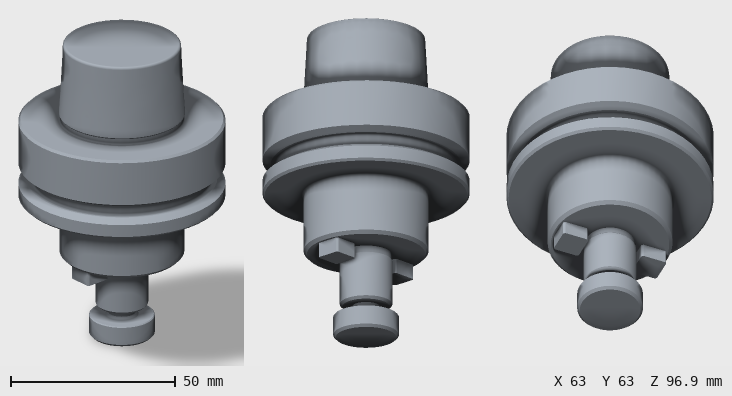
import cadquery as cq
import math


flange_radius = 31.5
flange_height = 26.0
flange_chamfer = 0.7
groove_center_z = -18.0
groove_mouth = 6.7
groove_slot_width = 3.8
groove_floor_radius = 27.3
groove_floor_fillet = 0.6
groove_flank_angle = 30.0

taper_top_z = 25.0
taper_top_radius = 17.95
taper_foot_z = 2.0
taper_foot_radius = 19.2
taper_top_round = 0.8
neck_radius = 18.8
neck_top_z = 1.55
relief_radius = 20.6
relief_depth = 0.2
relief_fillet = 0.5

boss_radius = 19.0
boss_bottom_z = -45.0
boss_chamfer = 1.0
boss_root_fillet = 0.8

pilot_radius = 8.0
pilot_bottom_z = boss_bottom_z - 17.0
pilot_chamfer = 0.8
pilot_neck_radius = 7.7
pilot_neck_bottom_z = boss_bottom_z - 2.0
pilot_shoulder_height = 0.4

key_width = 8.0
key_inner_y = 8.8
key_outer_y = 17.05
key_height = 4.6
key_chamfer = 0.5

head_radius = 10.0
head_top_z = pilot_bottom_z - 3.1
head_bottom_z = -71.9
head_top_chamfer = 0.3
head_bottom_chamfer = 0.8
shank_radius = 4.25
shank_length = 25.0
shank_root_chamfer = 0.8
shank_top_z = head_top_z + shank_length


def make_holder_body():
    """Taper, flange, boss and pilot turned about Z."""
    flange_bottom_z = -flange_height
    groove_top_z = groove_center_z + groove_mouth / 2
    groove_bottom_z = groove_center_z - groove_mouth / 2
    slot_top_z = groove_center_z + groove_slot_width / 2
    slot_bottom_z = groove_center_z - groove_slot_width / 2
    flank_drop = (groove_mouth - groove_slot_width) / 2
    flank_foot_radius = flange_radius - flank_drop / math.tan(math.radians(groove_flank_angle))
    mid_arc = 1 - math.sqrt(0.5)
    relief_mid_arc = relief_fillet * mid_arc
    boss_mid_arc = boss_root_fillet * mid_arc
    floor_mid_arc = groove_floor_fillet * mid_arc
    profile = (
        cq.Workplane("XZ")
        .moveTo(0, taper_top_z)
        .lineTo(taper_top_radius, taper_top_z)
        .lineTo(taper_foot_radius, taper_foot_z)
        .lineTo(neck_radius, neck_top_z)
        .lineTo(neck_radius, relief_fillet - relief_depth)
        .threePointArc(
            (neck_radius + relief_mid_arc, relief_mid_arc - relief_depth),
            (neck_radius + relief_fillet, -relief_depth),
        )
        .lineTo(relief_radius, 0)
        .lineTo(flange_radius - flange_chamfer, 0)
        .lineTo(flange_radius, -flange_chamfer)
        .lineTo(flange_radius, groove_top_z)
        .lineTo(flank_foot_radius, slot_top_z)
        .lineTo(groove_floor_radius + groove_floor_fillet, slot_top_z)
        .threePointArc(
            (groove_floor_radius + floor_mid_arc, slot_top_z - floor_mid_arc),
            (groove_floor_radius, slot_top_z - groove_floor_fillet),
        )
        .lineTo(groove_floor_radius, slot_bottom_z + groove_floor_fillet)
        .threePointArc(
            (groove_floor_radius + floor_mid_arc, slot_bottom_z + floor_mid_arc),
            (groove_floor_radius + groove_floor_fillet, slot_bottom_z),
        )
        .lineTo(flank_foot_radius, slot_bottom_z)
        .lineTo(flange_radius, groove_bottom_z)
        .lineTo(flange_radius, flange_bottom_z + flange_chamfer)
        .lineTo(flange_radius - flange_chamfer, flange_bottom_z)
        .lineTo(boss_radius + boss_root_fillet, flange_bottom_z)
        .threePointArc(
            (boss_radius + boss_mid_arc, flange_bottom_z - boss_mid_arc),
            (boss_radius, flange_bottom_z - boss_root_fillet),
        )
        .lineTo(boss_radius, boss_bottom_z + boss_chamfer)
        .lineTo(boss_radius - boss_chamfer, boss_bottom_z)
        .lineTo(pilot_neck_radius, boss_bottom_z)
        .lineTo(pilot_neck_radius, pilot_neck_bottom_z)
        .lineTo(pilot_radius, pilot_neck_bottom_z - pilot_shoulder_height)
        .lineTo(pilot_radius, pilot_bottom_z + pilot_chamfer)
        .lineTo(pilot_radius - pilot_chamfer, pilot_bottom_z)
        .lineTo(0, pilot_bottom_z)
        .close()
    )
    body = profile.revolve(360, (0, 0, 0), (0, 1, 0))
    return body.faces(">Z").edges().fillet(taper_top_round)


def make_key(side):
    """Drive key hanging from the boss; side is +1 or -1 along Y."""
    return (
        cq.Workplane("XY", origin=(0, side * (key_inner_y + key_outer_y) / 2, boss_bottom_z))
        .rect(key_width, key_outer_y - key_inner_y)
        .extrude(-key_height)
        .edges("|Z")
        .chamfer(key_chamfer)
    )


def make_holder():
    """Holder body with its drive keys and the blind hole for the screw."""
    holder = make_holder_body()
    for side in (-1, 1):
        holder = holder.union(make_key(side))
    screw_hole = (
        cq.Workplane("XY", origin=(0, 0, pilot_bottom_z))
        .circle(shank_radius)
        .extrude(shank_top_z - pilot_bottom_z)
    )
    return holder.cut(screw_hole)


def make_screw():
    """Clamping screw: round head below a plain shank."""
    return (
        cq.Workplane("XZ")
        .moveTo(0, head_bottom_z)
        .lineTo(head_radius - head_bottom_chamfer, head_bottom_z)
        .lineTo(head_radius, head_bottom_z + head_bottom_chamfer)
        .lineTo(head_radius, head_top_z - head_top_chamfer)
        .lineTo(head_radius - head_top_chamfer, head_top_z)
        .lineTo(shank_radius + shank_root_chamfer, head_top_z)
        .lineTo(shank_radius, head_top_z + shank_root_chamfer)
        .lineTo(shank_radius, shank_top_z)
        .lineTo(0, shank_top_z)
        .close()
        .revolve(360, (0, 0, 0), (0, 1, 0))
    )


holder = make_holder()
screw = make_screw()

result = cq.Compound.makeCompound([holder.val(), screw.val()])